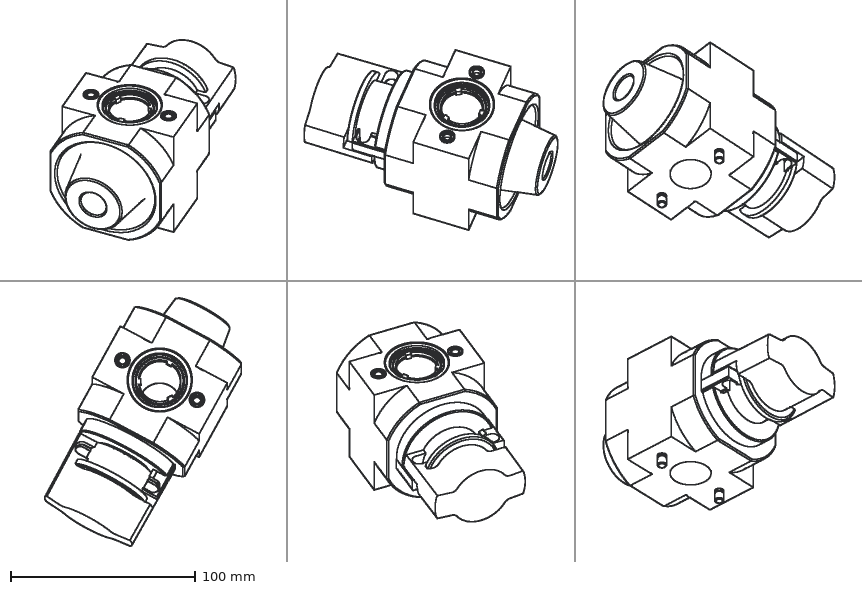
import cadquery as cq
import math

cube = 66.0
half = cube / 2
corner_radius = 35.7
cross_half_width = 16.0
end_chamfer = 0.8

front_tip = -49.6
recess_radius = 58.0 / 2
recess_mouth_chamfer = 1.0
recess_floor = -18.7
recess_fillet = 1.0
nose_base_radius = 21.5
nose_tip_radius = 16.8
nose_edge_chamfer = 0.8
nose_hole_diameter = 15.0
nose_hole_depth = 26.5
nose_hole_chamfer = 0.8

rear_end = 132.6 + front_tip
collar_radius = 27.6
collar_end = 41.0
collar_chamfer = 0.7
neck_radius = 30.0 / 2
knob_start = 42.2
hub_radius = 35.3 / 2
flange_radius = 22.1
flange_front = 55.3
flange_rear = 58.6
flange_chamfer_width = 1.2
flange_chamfer_length = 0.5
grip_radius = 17.2
rear_flat_radius = 11.3
rear_cone_slope = 0.1

wing_half_thickness = 8.0
wing_blank_reach = 27.8
wing_flat_reach = 26.0
wing_bevel_slope = 0.5
wing_front_radius = 27.5
wing_rear_radius = 27.0
wing_fillet = 3.7

tab_outer = collar_radius
tab_inner = 18.0
tab_bottom = 1.2
tab_top = 8.4
tab_end = 53.3
tab_bevel_width = 0.5
tab_bevel_height = 0.8
tab_ridge_height = 0.9
tab_ridge_reach = 20.5
slot_width = 7.2
slot_y = 48.9
tab_slot_end = 26.1
wing_slot_end = 25.2

bore_profile = [
    (17.6, 0), (17.1, 0.4), (15.0, 0.4), (15.0, 1.9), (14.5, 2.4), (14.5, 2.7),
    (13.4, 2.7), (12.7, 2.1), (11.5, 2.1), (11.5, 4.1), (11.1, 4.8),
]
bore_seat_radius = 11.5
bore_seat_depth = 2.1
tooth_angles = (30, 150, 270)
tooth_width = 3.0
tooth_radius = 10.2
tooth_overlap = 0.7
tooth_bottom_depth = 4.9

screw_x = 23.0
screw_tip = -39.8
head_hole_diameter = 8.2
head_diameter = 8.0
head_top_diameter = 7.0
head_chamfer_height = 0.5
head_height = 5.3
shank_diameter = 5.0
relief_diameter = 4.1
relief_length = 1.5
tip_length = 0.7
socket_diameter = 4.1
socket_chamfer = 0.46
socket_depth = 3.3
socket_cone_depth = 1.2


def turned_about_y(points):
    """Revolve a (radius, y) outline about the Y axis."""
    return cq.Workplane("XY").polyline(points).close().revolve(360, (0, 0, 0), (0, 1, 0))


def turned_about_z(points):
    """Revolve a (radius, z) outline about the Z axis."""
    return cq.Workplane("XZ").polyline(points).close().revolve(360, (0, 0, 0), (0, 1, 0))


def along_y(outline, start, end):
    """Extrude a closed (x, z) outline from y = start to y = end."""
    return outline.extrude(start - end).translate((0, start, 0))


def half_turn(shape):
    """Copy of a shape turned 180 degrees about the Y axis."""
    return shape.rotate((0, 0, 0), (0, 1, 0), 180)


def make_block():
    middle = cq.Workplane("XY").box(cube, 2 * cross_half_width, cube)
    ends = cq.Workplane("XY").box(cube, cube, cube)
    ends = ends.intersect(cq.Workplane("XZ").circle(corner_radius).extrude(half, both=True))
    ends = ends.faces("<Y or >Y").chamfer(end_chamfer)
    return ends.union(middle)


def cut_recess(body):
    mouth = recess_radius + recess_mouth_chamfer
    inner = nose_base_radius / 2
    tool = turned_about_y([
        (inner, -half),
        (mouth, -half),
        (recess_radius, -half + recess_mouth_chamfer),
        (recess_radius, recess_floor),
        (inner, recess_floor),
    ])
    return body.cut(tool)


def make_nose():
    blank = turned_about_y([
        (0, front_tip),
        (nose_tip_radius, front_tip),
        (nose_base_radius, recess_floor),
        (0, recess_floor),
    ])
    return blank.faces("<Y").chamfer(nose_edge_chamfer)


def round_recess_floor(body):
    floor_edges = cq.selectors.BoxSelector(
        (-half, recess_floor - 0.1, -half), (half, recess_floor + 0.1, half), boundingbox=False)
    return body.edges("%CIRCLE").edges(floor_edges).fillet(recess_fillet)


def cut_nose_hole(body):
    radius = nose_hole_diameter / 2
    bottom = front_tip + nose_hole_depth
    return body.cut(turned_about_y([
        (0, front_tip),
        (radius + nose_hole_chamfer, front_tip),
        (radius, front_tip + nose_hole_chamfer),
        (radius, bottom),
        (0, bottom),
    ]))


def make_collar():
    return turned_about_y([
        (0, half),
        (collar_radius, half),
        (collar_radius, collar_end - collar_chamfer),
        (collar_radius - collar_chamfer, collar_end),
        (neck_radius, collar_end),
        (neck_radius, knob_start),
        (0, knob_start),
    ])


def make_hub():
    """Front part of the knob: round hub and flange."""
    return turned_about_y([
        (0, knob_start),
        (hub_radius, knob_start),
        (hub_radius, flange_front),
        (flange_radius, flange_front),
        (flange_radius, flange_rear - flange_chamfer_length),
        (flange_radius - flange_chamfer_width, flange_rear),
        (0, flange_rear),
    ])


def make_grip():
    """Rear part of the knob: round grip that blends into the flats of both wings."""
    flat = wing_half_thickness
    centre_z = flat + wing_fillet
    reach = grip_radius + wing_fillet
    centre_x = math.sqrt(reach ** 2 - centre_z ** 2)
    tangent_x = centre_x * grip_radius / reach
    tangent_z = centre_z * grip_radius / reach
    middle_angle = (math.pi + math.atan2(centre_z, centre_x) + 1.5 * math.pi) / 2
    middle_x = centre_x + wing_fillet * math.cos(middle_angle)
    middle_z = centre_z + wing_fillet * math.sin(middle_angle)
    outline = (
        cq.Workplane("XZ").moveTo(wing_blank_reach, -flat)
        .lineTo(wing_blank_reach, flat)
        .lineTo(centre_x, flat)
        .threePointArc((middle_x, middle_z), (tangent_x, tangent_z))
        .threePointArc((0, grip_radius), (-tangent_x, tangent_z))
        .threePointArc((-middle_x, middle_z), (-centre_x, flat))
        .lineTo(-wing_blank_reach, flat)
        .lineTo(-wing_blank_reach, -flat)
        .lineTo(-centre_x, -flat)
        .threePointArc((-middle_x, -middle_z), (-tangent_x, -tangent_z))
        .threePointArc((0, -grip_radius), (tangent_x, -tangent_z))
        .threePointArc((middle_x, -middle_z), (centre_x, -flat))
        .close()
    )
    return along_y(outline, flange_rear, rear_end)


def make_slot(inner, outer):
    """Upright through slot on the +X side with a round outer end."""
    radius = slot_width / 2
    outline = (
        cq.Workplane("XY").moveTo(inner, slot_y - radius)
        .lineTo(outer - radius, slot_y - radius)
        .threePointArc((outer, slot_y), (outer - radius, slot_y + radius))
        .lineTo(inner, slot_y + radius)
        .close()
    )
    return outline.extrude(half, both=True)


def make_wing_lip():
    """Front stretch of the +X wing: only its upper half, which leaves room for the tab below."""
    bar = along_y(cq.Workplane("XZ").polyline([
        (0, 0),
        (wing_blank_reach, 0),
        (wing_blank_reach, wing_half_thickness),
        (0, wing_half_thickness),
    ]).close(), knob_start, flange_rear)
    return bar.cut(make_slot(0, wing_slot_end))


def make_bevel_trim():
    """Prism whose sloping sides bevel the wing tips and follow their taper, clear of the flange."""
    def bevel_x(z):
        return wing_flat_reach - wing_bevel_slope * (z - wing_half_thickness)

    low_z = wing_half_thickness / 2
    high_z = flange_radius + 1.3
    low_x = bevel_x(low_z)
    high_x = bevel_x(high_z)

    def outline(plane, shift):
        return plane.polyline([
            (low_x - shift, -low_z),
            (low_x - shift, low_z),
            (high_x - shift, high_z),
            (shift - high_x, high_z),
            (shift - low_x, low_z),
            (shift - low_x, -low_z),
            (shift - high_x, -high_z),
            (high_x - shift, -high_z),
        ]).close()

    front = outline(cq.Workplane("XZ", origin=(0, knob_start, 0)), 0)
    rear_plane = front.workplane(offset=knob_start - rear_end)
    return outline(rear_plane, wing_front_radius - wing_rear_radius).loft(ruled=True)


def make_knob():
    """Hub, grip and wings, trimmed to the tapered wing tips and the shallow rear cone."""
    rear_rim = rear_end - rear_cone_slope * (wing_rear_radius - rear_flat_radius)
    envelope = turned_about_y([
        (0, knob_start),
        (wing_front_radius, knob_start),
        (wing_rear_radius, rear_rim),
        (rear_flat_radius, rear_end),
        (0, rear_end),
    ])
    lip = make_wing_lip()
    knob = make_hub().union(make_grip()).union(lip).union(half_turn(lip))
    return knob.intersect(envelope).intersect(make_bevel_trim())


def make_tab():
    """The tab on the -X side: bar from the block past the collar, with a ridge near its inner edge."""
    tab = along_y(cq.Workplane("XZ").polyline([
        (-tab_outer, tab_bottom),
        (-tab_outer, tab_top - tab_bevel_height),
        (-tab_outer + tab_bevel_width, tab_top),
        (-tab_ridge_reach, tab_top),
        (-tab_ridge_reach, tab_top + tab_ridge_height),
        (-tab_inner, tab_top),
        (-tab_inner, tab_bottom),
    ]).close(), half, tab_end)
    return tab.cut(half_turn(make_slot(0, tab_slot_end)))


def cut_bore(body):
    outline = [(radius, half - depth) for radius, depth in bore_profile]
    through_radius = bore_profile[-1][0]
    outline += [(through_radius, -half), (0, -half), (0, half)]
    return body.cut(turned_about_z(outline))


def make_bore_tooth(angle):
    length = bore_seat_radius + tooth_overlap - tooth_radius
    height = tooth_bottom_depth - bore_seat_depth
    tooth = cq.Workplane("XY").box(length, tooth_width, height, centered=(False, True, False))
    tooth = tooth.translate((tooth_radius, 0, half - tooth_bottom_depth))
    return tooth.rotate((0, 0, 0), (0, 0, 1), angle)


def make_screw_hole(x):
    hole = cq.Workplane("XY").circle(shank_diameter / 2).extrude(cube).translate((0, 0, -half))
    head = cq.Workplane("XY").circle(head_hole_diameter / 2).extrude(head_height)
    return hole.union(head.translate((0, 0, half - head_height))).translate((x, 0, 0))


def make_screw(x):
    head_bottom = half - head_height
    shank = shank_diameter / 2
    relief = relief_diameter / 2
    socket = socket_diameter / 2
    relief_end = -half - relief_length
    socket_bottom = half - socket_depth
    screw = turned_about_z([
        (0, screw_tip),
        (relief, screw_tip),
        (relief, screw_tip + tip_length),
        (shank, screw_tip + tip_length),
        (shank, relief_end),
        (relief, relief_end),
        (relief, -half),
        (shank, -half),
        (shank, head_bottom),
        (head_diameter / 2, head_bottom),
        (head_diameter / 2, half - head_chamfer_height),
        (head_top_diameter / 2, half),
        (socket + socket_chamfer, half),
        (socket, half - socket_chamfer),
        (socket, socket_bottom),
        (0, socket_bottom - socket_cone_depth),
    ])
    return screw.translate((x, 0, 0))


housing = cut_recess(make_block()).union(make_nose())
housing = round_recess_floor(housing)
housing = cut_nose_hole(housing)

tab = make_tab()
for rear_part in (make_collar(), make_knob(), tab, half_turn(tab)):
    housing = housing.union(rear_part)

housing = cut_bore(housing)
for tooth_angle in tooth_angles:
    housing = housing.union(make_bore_tooth(tooth_angle))

screws = []
for x in (-screw_x, screw_x):
    housing = housing.cut(make_screw_hole(x))
    screws.append(make_screw(x).val())

result = cq.Compound.makeCompound([housing.val(), *screws])